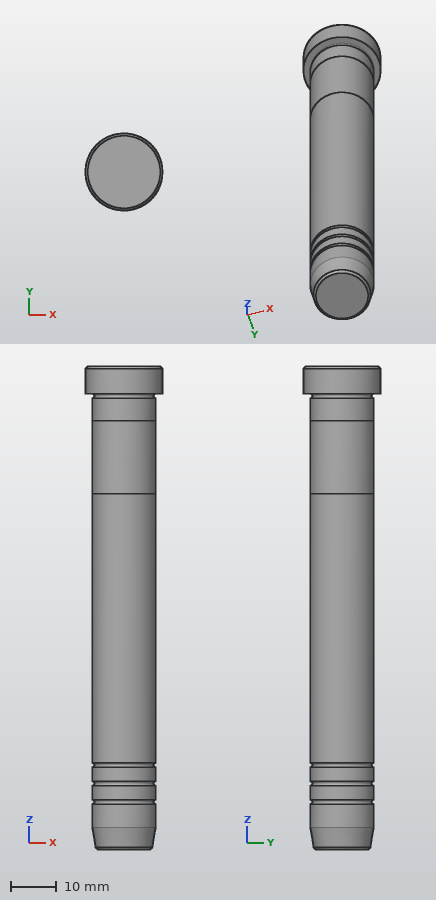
import cadquery as cq

total_length = 106.0
head_radius = 8.5
head_height = 6.0
head_chamfer = 0.5
shaft_radius = 7.0

lower_joint_z = 78.0
upper_joint_z = 94.0

groove_width = 1.0
groove_depth = groove_width / 2
lowest_groove_z = 10.5
groove_pitch = 4.0
groove_count = 3

taper_length = 5.0
taper_end_radius = 6.3
taper_hollow = 0.03
tip_chamfer = 0.5

head_bottom_z = total_length - head_height


def cut_groove(body, center_z):
    """Cut a ring groove with a semicircular section around the shaft."""
    half_width = groove_width / 2
    outside_radius = shaft_radius + groove_depth
    cutter = (
        cq.Workplane("XZ")
        .moveTo(shaft_radius, center_z - half_width)
        .threePointArc(
            (shaft_radius - groove_depth, center_z),
            (shaft_radius, center_z + half_width),
        )
        .lineTo(outside_radius, center_z + half_width)
        .lineTo(outside_radius, center_z - half_width)
        .close()
        .revolve(360, (0, 0, 0), (0, 1, 0))
    )
    return body.cut(cutter)


def make_guide_shaft():
    """Long lower shaft with a slightly hollow taper at the tip and ring grooves."""
    taper_middle_radius = (shaft_radius + taper_end_radius) / 2 - taper_hollow
    taper_middle_z = (taper_length + tip_chamfer) / 2
    shaft = (
        cq.Workplane("XZ")
        .lineTo(taper_end_radius - tip_chamfer, 0)
        .lineTo(taper_end_radius, tip_chamfer)
        .threePointArc((taper_middle_radius, taper_middle_z), (shaft_radius, taper_length))
        .lineTo(shaft_radius, lower_joint_z)
        .lineTo(0, lower_joint_z)
        .close()
        .revolve(360, (0, 0, 0), (0, 1, 0))
    )
    for index in range(groove_count):
        shaft = cut_groove(shaft, lowest_groove_z + index * groove_pitch)
    return shaft


def make_middle_section():
    """Plain cylinder between the guide shaft and the head."""
    return (
        cq.Workplane("XY")
        .workplane(offset=lower_joint_z)
        .circle(shaft_radius)
        .extrude(upper_joint_z - lower_joint_z)
    )


def make_head():
    """Chamfered head with a short neck and a relief groove under the head."""
    disc = (
        cq.Workplane("XY")
        .workplane(offset=head_bottom_z)
        .circle(head_radius)
        .extrude(head_height)
        .faces(">Z")
        .chamfer(head_chamfer)
    )
    neck = (
        cq.Workplane("XY")
        .workplane(offset=upper_joint_z)
        .circle(shaft_radius)
        .extrude(head_bottom_z - upper_joint_z)
    )
    neck = cut_groove(neck, head_bottom_z - groove_width / 2)
    return disc.union(neck)


guide_shaft = make_guide_shaft()
middle_section = make_middle_section()
head = make_head()

result = cq.Compound.makeCompound([guide_shaft.val(), middle_section.val(), head.val()])